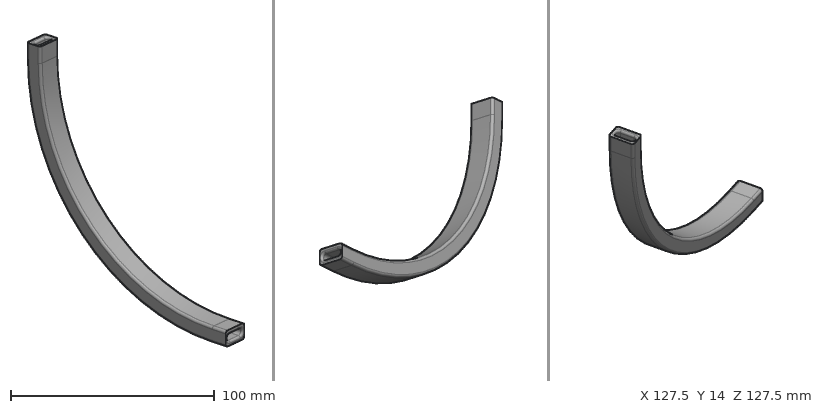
import cadquery as cq
import math

OVERALL = 127.5
WIDTH = 14.0
THICKNESS = 8.7
CORNER_RADIUS = 1.4
END_LENGTH = 8.9

BORE_DIAMETER = 3.6
BORE_LENGTH = 11.3
MOUTH_RADIUS = 1.3

half_span = OVERALL / 2
half_thickness = THICKNESS / 2
bend_radius = OVERALL - END_LENGTH - half_thickness
bend_centre = half_span - END_LENGTH
centreline_offset = -half_span + half_thickness


def centreline():
    """Straight end, quarter bend and straight end, from the top to the +X end."""
    bend_mid = bend_centre - bend_radius * math.sqrt(0.5)
    return (
        cq.Workplane("XZ")
        .moveTo(centreline_offset, half_span)
        .lineTo(centreline_offset, bend_centre)
        .threePointArc((bend_mid, bend_mid), (bend_centre, centreline_offset))
        .lineTo(half_span, centreline_offset)
    )


def top_plane():
    """Section plane at the top end, centred on the tube."""
    return cq.Workplane("XY", origin=(centreline_offset, 0, half_span))


def tube_body():
    section = cq.Sketch().rect(THICKNESS, WIDTH).vertices().fillet(CORNER_RADIUS)
    return top_plane().placeSketch(section).sweep(centreline())


def bore():
    return top_plane().slot2D(BORE_LENGTH, BORE_DIAMETER, 90).sweep(centreline())


def mouth_edges(tube, face_selector):
    """Edges of the bore opening in one end face."""
    opening = tube.faces(face_selector).val().innerWires()[0]
    return opening.Edges()


tube = tube_body().cut(bore())
rounded_edges = mouth_edges(tube, ">Z") + mouth_edges(tube, ">X")
result = tube.newObject(rounded_edges).fillet(MOUTH_RADIUS)